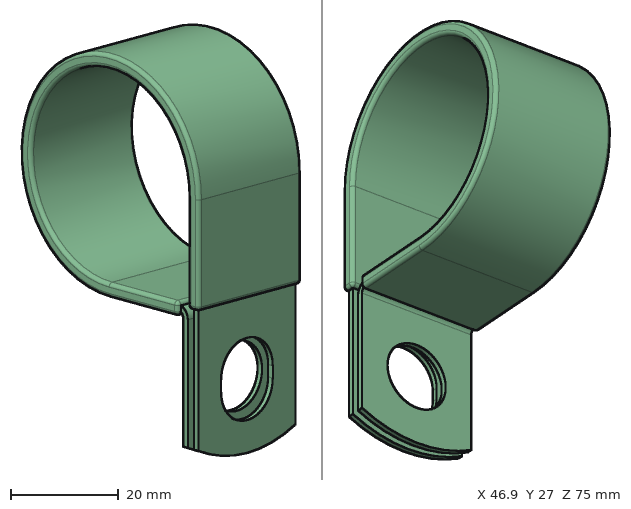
import cadquery as cq
import math


tube_diameter = 41.275
cushion_thickness = 0.79375
strap_thickness = 1.2192
strap_width = 25.4
upright_cushion_length = 21.45
floor_cushion_length = 18.0
tab_gap = 1.5875
tab_bottom_z = -51.565
tab_end_radius = 28.575
hole_diameter = 13.494
slot_length = 15.875
hole_z = -37.275
bend_inner_radius = strap_thickness

cushion_inner_radius = tube_diameter / 2
strap_inner_radius = cushion_inner_radius + cushion_thickness
strap_outer_radius = strap_inner_radius + strap_thickness
cushion_outer_radius = strap_outer_radius + cushion_thickness
cushion_width = strap_width + 2 * cushion_thickness
bend_outer_radius = bend_inner_radius + strap_thickness
bent_tab_outer_x = strap_inner_radius - tab_gap
bent_tab_inner_x = bent_tab_outer_x - strap_thickness
bend_center_x = bent_tab_outer_x - bend_outer_radius
bend_center_z = -strap_inner_radius - bend_outer_radius


def make_cushion():
    """Loop of 270 degrees with a straight upright and a straight floor, all rims rounded."""
    inner = cushion_inner_radius
    outer = cushion_outer_radius
    diagonal = math.sqrt(0.5)
    blank = (
        cq.Workplane("XZ")
        .moveTo(outer, -upright_cushion_length)
        .lineTo(outer, 0)
        .threePointArc((-outer * diagonal, outer * diagonal), (0, -outer))
        .lineTo(floor_cushion_length, -outer)
        .lineTo(floor_cushion_length, -inner)
        .lineTo(0, -inner)
        .threePointArc((-inner * diagonal, inner * diagonal), (inner, 0))
        .lineTo(inner, -upright_cushion_length)
        .close()
        .extrude(cushion_width / 2, both=True)
    )
    mid_radius = (inner + outer) / 2
    upright_end = cq.selectors.NearestToPointSelector((mid_radius, 0, -upright_cushion_length))
    floor_end = cq.selectors.NearestToPointSelector((floor_cushion_length, 0, -mid_radius))
    side_rims = blank.faces("<Y or >Y").edges()
    end_rims = blank.faces(upright_end).edges("|Y").add(blank.faces(floor_end).edges("|Y"))
    return side_rims.add(end_rims).fillet(cushion_thickness)


def make_straight_tab():
    """Strap running straight down from the tube axis height, through the upright cushion."""
    return (
        cq.Workplane("XZ")
        .moveTo(strap_inner_radius, 0)
        .lineTo(strap_outer_radius, 0)
        .lineTo(strap_outer_radius, tab_bottom_z)
        .lineTo(strap_inner_radius, tab_bottom_z)
        .close()
        .extrude(strap_width / 2, both=True)
    )


def make_bent_tab():
    """Strap leaving the floor cushion and turning down beside the straight tab."""
    return (
        cq.Workplane("XZ")
        .moveTo(0, -strap_inner_radius)
        .lineTo(bend_center_x, -strap_inner_radius)
        .radiusArc((bent_tab_outer_x, bend_center_z), bend_outer_radius)
        .lineTo(bent_tab_outer_x, tab_bottom_z)
        .lineTo(bent_tab_inner_x, tab_bottom_z)
        .lineTo(bent_tab_inner_x, bend_center_z)
        .radiusArc((bend_center_x, -strap_outer_radius), -bend_inner_radius)
        .lineTo(0, -strap_outer_radius)
        .close()
        .extrude(strap_width / 2, both=True)
    )


def make_tab_envelope():
    """Prism along X that rounds the lower ends of both tabs."""
    half_width = strap_width / 2
    end_center_z = tab_bottom_z + tab_end_radius
    corner_z = end_center_z - math.sqrt(tab_end_radius**2 - half_width**2)
    return (
        cq.Workplane("YZ")
        .moveTo(-half_width, 0)
        .lineTo(-half_width, corner_z)
        .threePointArc((0, tab_bottom_z), (half_width, corner_z))
        .lineTo(half_width, 0)
        .close()
        .extrude(cushion_outer_radius)
    )


def make_bolt_hole():
    """Round hole through the bent tab."""
    return (
        cq.Workplane("YZ", origin=(bent_tab_inner_x, 0, hole_z))
        .circle(hole_diameter / 2)
        .extrude(strap_thickness)
    )


def make_bolt_slot():
    """Vertical slot through the straight tab, centered on the bolt hole."""
    slot_angle = 90
    return (
        cq.Workplane("YZ", origin=(strap_inner_radius, 0, hole_z))
        .slot2D(slot_length, hole_diameter, slot_angle)
        .extrude(strap_thickness)
    )


bent_tab = make_bent_tab().cut(make_bolt_hole())
straight_tab = make_straight_tab().cut(make_bolt_slot())
tabs = bent_tab.union(straight_tab).intersect(make_tab_envelope())
result = make_cushion().union(tabs)